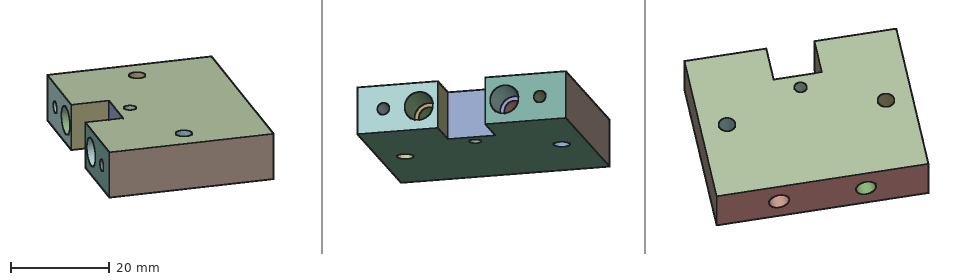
import cadquery as cq
import math

length = 44.0
width = 35.0
thickness = 10.0
front_y = -width / 2

notch_width = 10.0
notch_depth = 8.0

side_hole_diameter = 3.4
side_hole_x = 16.5
small_hole_diameter = 2.5
center_hole_setback = 11.0

bore_x = 9.0
bore_diameter = 4.2
counterbore_diameter = 6.0
counterbore_depth = 8.0

blind_hole_depth = 10.0
drill_tip_angle = 118.0


def front_cylinder(x, diameter, depth):
    """Cylinder entering the front face at mid-thickness and running toward +Y."""
    start = cq.Vector(x, front_y, 0)
    return cq.Workplane(obj=cq.Solid.makeCylinder(diameter / 2, depth, start, cq.Vector(0, 1, 0)))


def stepped_bore(x):
    """Through bore with a counterbore at the front face."""
    bore = front_cylinder(x, bore_diameter, width)
    counterbore = front_cylinder(x, counterbore_diameter, counterbore_depth)
    return bore.union(counterbore)


def drilled_blind_hole(x):
    """Blind hole with a conical drill tip, revolved about its own axis."""
    radius = small_hole_diameter / 2
    tip_length = radius / math.tan(math.radians(drill_tip_angle / 2))
    shoulder_y = front_y + blind_hole_depth
    return (
        cq.Workplane("XY")
        .moveTo(x, front_y)
        .lineTo(x + radius, front_y)
        .lineTo(x + radius, shoulder_y)
        .lineTo(x, shoulder_y + tip_length)
        .close()
        .revolve(360, (x, front_y, 0), (x, shoulder_y, 0))
    )


def vertical_hole(x, y, diameter):
    """Through hole along Z."""
    return cq.Workplane("XY").center(x, y).circle(diameter / 2).extrude(thickness, both=True)


block = cq.Workplane("XY").box(length, width, thickness)
notch = (
    cq.Workplane("XY")
    .box(notch_width, notch_depth, thickness)
    .translate((0, front_y + notch_depth / 2, 0))
)
result = block.cut(notch)
result = result.cut(vertical_hole(0, front_y + center_hole_setback, small_hole_diameter))

for side in (-1, 1):
    result = result.cut(vertical_hole(side * side_hole_x, 0, side_hole_diameter))
    result = result.cut(stepped_bore(side * bore_x))
    result = result.cut(drilled_blind_hole(side * side_hole_x))